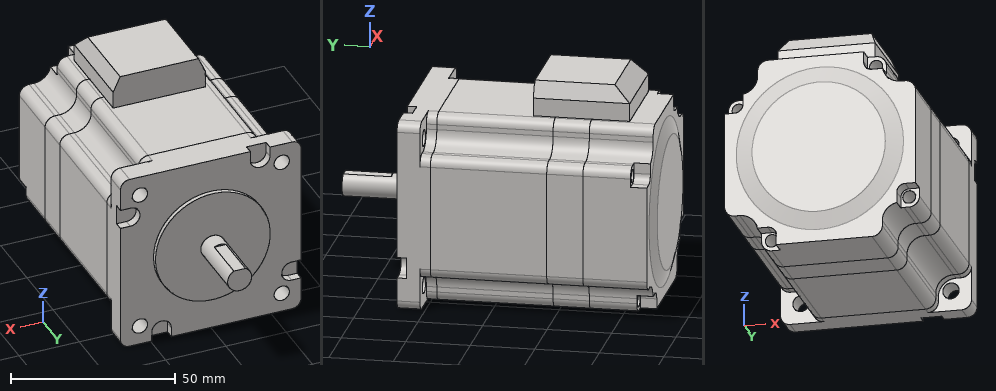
import cadquery as cq


case_width = 60.0
half_width = case_width / 2
flange_thickness = 7.2
front_end = -10.4
stator_end = -46.5
bracket_end = -57.7
total_length = 101.0
flange_corner_radius = 3.0

mount_hole_offset = 23.5
mount_hole_diameter = 5.0
pilot_diameter = 38.1
pilot_height = 1.5

shaft_diameter = 8.0
shaft_reach = 22.0
flat_length = 14.9
flat_depth = 0.5

shoulder_radius = 3.2
screw_side = 16.4
screw_out = half_width - shoulder_radius
screw_hole_diameter = 4.0
front_slot_depth = 2.9
rear_notch_depth = 5.0
rear_notch_fillet = 2.6

relief_wall = screw_side + shoulder_radius
relief_radius = 5.6
relief_arc_end = relief_wall + relief_radius

cap_height = 1.5
cap_base_radius = 26.3
cap_face_radius = 20.9
rear_face = shaft_reach + cap_height - total_length

box_width = 30.6
box_front = -39.5
box_length = 29.9
box_height = 10.7
box_bevel_height = 5.0
box_side_bevel = 2.3
box_rear_bevel = 5.0

quarter_turns = [0, 90, 180, 270]


def plane_at(y):
    """XZ plane at the given Y: local x is X, local y is Z, extrusion runs to -Y."""
    return cq.Workplane("XZ", origin=(0, y, 0))


def square_block(front, rear):
    return plane_at(front).rect(case_width, case_width).extrude(front - rear)


def cut_four(body, cutter):
    """Cut the same shape at four quarter turns about the motor axis."""
    for angle in quarter_turns:
        body = body.cut(cutter.rotate((0, 0, 0), (0, 1, 0), angle))
    return body


def corner_relief():
    """Corner cutter with a concave inner corner and a rounded shoulder on each side."""
    return (
        plane_at(-flange_thickness)
        .moveTo(screw_side, half_width)
        .radiusArc((relief_wall, screw_out), shoulder_radius)
        .lineTo(relief_wall, relief_arc_end)
        .radiusArc((relief_arc_end, relief_wall), -relief_radius)
        .lineTo(screw_out, relief_wall)
        .radiusArc((half_width, screw_side), shoulder_radius)
        .lineTo(half_width, half_width)
        .close()
        .extrude(-flange_thickness - rear_face)
    )


def case_section(front, rear):
    return cut_four(square_block(front, rear), corner_relief())


def front_slot():
    """Round-bottomed screw slot, open to the outside, in the mounting face."""
    floor = plane_at(0).center(-screw_side, screw_out).circle(shoulder_radius).extrude(front_slot_depth)
    mouth = (
        plane_at(0)
        .center(-screw_side, screw_out + shoulder_radius / 2)
        .rect(2 * shoulder_radius, shoulder_radius)
        .extrude(front_slot_depth)
    )
    return floor.union(mouth)


def make_front_bracket():
    flange = square_block(0, -flange_thickness).edges("|Y").fillet(flange_corner_radius)
    bracket = flange.union(case_section(-flange_thickness, front_end))
    bracket = bracket.union(plane_at(pilot_height).circle(pilot_diameter / 2).extrude(pilot_height))
    mount_holes = (
        plane_at(0)
        .rect(2 * mount_hole_offset, 2 * mount_hole_offset, forConstruction=True)
        .vertices()
        .circle(mount_hole_diameter / 2)
        .extrude(flange_thickness)
    )
    return cut_four(bracket.cut(mount_holes), front_slot())


def make_shaft():
    """Output shaft standing on the pilot face, with a flat on top at its tip."""
    shaft_radius = shaft_diameter / 2
    shaft = plane_at(shaft_reach).circle(shaft_radius).extrude(shaft_reach - pilot_height)
    flat = (
        plane_at(shaft_reach)
        .center(0, shaft_radius - flat_depth / 2)
        .rect(shaft_diameter, flat_depth)
        .extrude(flat_length)
    )
    return shaft.cut(flat)


def rear_screw_notch():
    """Corner-filleted notch in the rear face, open to the outside and into the relief."""
    notch_front = rear_face + rear_notch_depth
    left = screw_side - rear_notch_fillet
    bottom = screw_out - rear_notch_fillet
    return (
        plane_at(notch_front)
        .moveTo(left, half_width)
        .lineTo(relief_arc_end, half_width)
        .lineTo(relief_arc_end, bottom)
        .lineTo(screw_side, bottom)
        .radiusArc((left, screw_out), rear_notch_fillet)
        .close()
        .extrude(rear_notch_depth)
    )


def rear_screw_hole():
    return (
        plane_at(bracket_end)
        .center(screw_side, screw_out)
        .circle(screw_hole_diameter / 2)
        .extrude(bracket_end - rear_face)
    )


def rear_cap():
    """Shallow cone frustum on the rear face."""
    return (
        cq.Workplane("XY")
        .moveTo(0, rear_face)
        .lineTo(cap_base_radius, rear_face)
        .lineTo(cap_face_radius, rear_face - cap_height)
        .lineTo(0, rear_face - cap_height)
        .close()
        .revolve(360, (0, 0, 0), (0, 1, 0))
    )


def connector_box():
    """Box with both sides and the rear beveled towards its top."""
    box_top = half_width + box_height
    bevel_start = box_top - box_bevel_height
    half_box = box_width / 2
    half_top = half_box - box_side_bevel
    box_rear = box_front - box_length
    front_outline = (
        plane_at(box_front)
        .polyline([
            (-half_box, half_width),
            (half_box, half_width),
            (half_box, bevel_start),
            (half_top, box_top),
            (-half_top, box_top),
            (-half_box, bevel_start),
        ])
        .close()
        .extrude(box_length)
    )
    side_outline = (
        cq.Workplane("YZ")
        .polyline([
            (box_front, half_width),
            (box_front, box_top),
            (box_rear + box_rear_bevel, box_top),
            (box_rear, bevel_start),
            (box_rear, half_width),
        ])
        .close()
        .extrude(half_box, both=True)
    )
    return front_outline.intersect(side_outline)


def make_rear_cover():
    cover = case_section(bracket_end, rear_face)
    cover = cut_four(cover, rear_screw_notch())
    cover = cut_four(cover, rear_screw_hole())
    return cover.union(rear_cap()).union(connector_box())


front_bracket = make_front_bracket()
stator = case_section(front_end, stator_end)
rear_bracket = case_section(stator_end, bracket_end)
rear_cover = make_rear_cover()
shaft = make_shaft()

result = cq.Compound.makeCompound([
    front_bracket.val(),
    stator.val(),
    rear_bracket.val(),
    rear_cover.val(),
    shaft.val(),
])